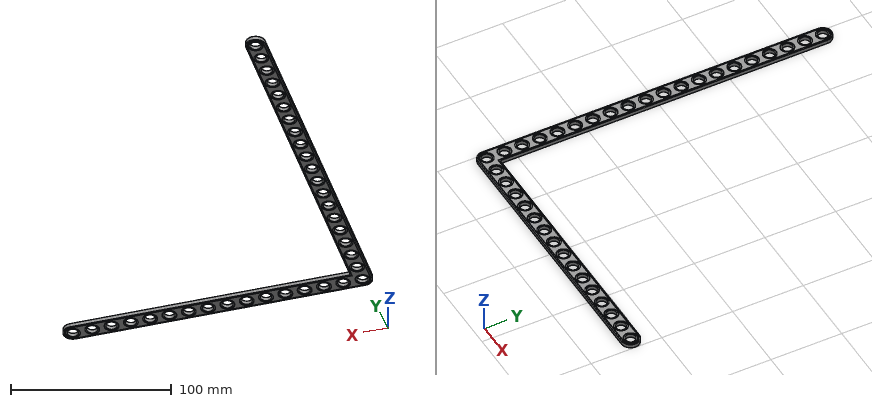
import cadquery as cq

length_x = 200.0
length_y = 250.0
width = 12.5
thickness = 3.0
pitch = 12.5
hole_diameter = 7.0
ring_diameter = 9.2
step_height = 0.2
edge_margin = 0.9
bevel_angle = 45.0

span_x = length_x - width
span_y = length_y - width
holes_along_x = [(i * pitch, 0) for i in range(round(span_x / pitch) + 1)]
holes_along_y = [(0, i * pitch) for i in range(1, round(span_y / pitch) + 1)]
hole_centres = holes_along_x + holes_along_y

core_thickness = thickness - 2 * step_height
pad_width = width - 2 * edge_margin
ring_foot_diameter = ring_diameter - 2 * step_height


def leg(span, leg_width, height, taper, angle):
    """Round-ended strip that runs from the corner hole along the given direction."""
    outline = cq.Workplane("XY").center(span / 2, 0).slot2D(span + leg_width, leg_width)
    return outline.extrude(height, taper=taper).rotate((0, 0, 0), (0, 0, 1), angle)


def bracket(leg_width, height, taper=0):
    """L-shaped plate made of the two legs."""
    return leg(span_x, leg_width, height, taper, 0).union(leg(span_y, leg_width, height, taper, 90))


def discs(diameter, height, taper=0):
    """One round disc at every hole centre."""
    return cq.Workplane("XY").pushPoints(hole_centres).circle(diameter / 2).extrude(height, taper=taper)


pad = bracket(pad_width, step_height, bevel_angle)
pad = pad.cut(discs(ring_foot_diameter, step_height, -bevel_angle))

top_pad = pad.translate((0, 0, thickness - step_height))
bottom_pad = pad.mirror("XY").translate((0, 0, step_height))
core = bracket(width, core_thickness).translate((0, 0, step_height))
body = core.union(top_pad).union(bottom_pad)

result = body.cut(discs(hole_diameter, thickness))